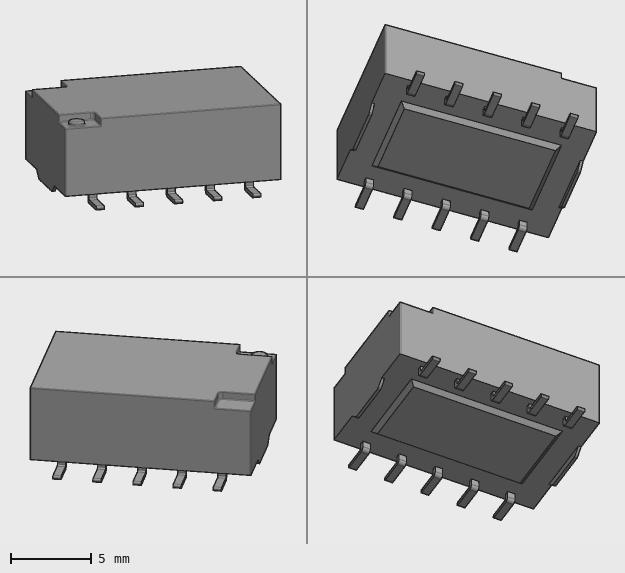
import cadquery as cq

CASE_WIDTH = 9.0
CASE_LENGTH = 14.0
TOP_Z = 5.6
CASE_BOTTOM_Z = 0.7
CASE_HEIGHT = TOP_Z - CASE_BOTTOM_Z
EDGE_RADIUS = 0.05

RECESS_WIDTH = 1.5
RECESS_LENGTH = 2.3
RECESS_DEPTH = 0.5
RECESS_CORNER_RADIUS = 0.25
RECESS_FLOOR_Z = TOP_Z - RECESS_DEPTH

MARK_DIAMETER = 1.0
MARK_HEIGHT = 0.25
MARK_TOP_RADIUS = 0.1
MARK_BASE_RADIUS = 0.05
MARK_X = (CASE_WIDTH - RECESS_WIDTH) / 2
MARK_Y = -6.05

TAB_TOP_WIDTH = 4.0
TAB_CORNER_RADIUS = 0.2
TAB_BOTTOM_Z = 0.2
TAB_DROP = CASE_BOTTOM_Z - TAB_BOTTOM_Z
TAB_THICKNESS = 0.2

PLUG_WIDTH = 5.5
PLUG_LENGTH = 10.6
PLUG_DROP = 0.3
PLUG_TAPER = 0.3

LEAD_SPAN = 11.5
LEAD_COUNT = 5
LEAD_PITCH = 2.54
LEAD_WIDTH = 0.52
LEAD_THICKNESS = 0.25
LEAD_LEG_THICKNESS = 0.3
LEAD_OUTER_FACE_X = 4.075
LEAD_INNER_BEND_RADIUS = 0.1
LEAD_OUTER_BEND_RADIUS = 0.25
LEAD_TIP_RADIUS = 0.12
LEAD_EMBED = 0.2


def make_case():
    """Block with two corner recesses, every edge above the bottom face rounded."""
    case = cq.Workplane("XY").box(CASE_WIDTH, CASE_LENGTH, CASE_HEIGHT, centered=(True, True, False))
    for side in (-1, 1):
        cutter = (
            cq.Workplane("XY")
            .box(2 * RECESS_WIDTH, 2 * RECESS_LENGTH, 2 * RECESS_DEPTH)
            .edges("|Z")
            .fillet(RECESS_CORNER_RADIUS)
            .translate((side * CASE_WIDTH / 2, -CASE_LENGTH / 2, CASE_HEIGHT))
        )
        case = case.cut(cutter)
    case = case.edges("not(<Z)").fillet(EDGE_RADIUS)
    return case.translate((0, 0, CASE_BOTTOM_Z))


def make_mark():
    """Short round stud with a rounded top edge and a flared foot."""
    radius = MARK_DIAMETER / 2
    foot_radius = radius + MARK_BASE_RADIUS
    mark = (
        cq.Workplane("XZ")
        .lineTo(foot_radius, 0)
        .radiusArc((radius, MARK_BASE_RADIUS), MARK_BASE_RADIUS)
        .lineTo(radius, MARK_HEIGHT - MARK_TOP_RADIUS)
        .radiusArc((radius - MARK_TOP_RADIUS, MARK_HEIGHT), -MARK_TOP_RADIUS)
        .lineTo(0, MARK_HEIGHT)
        .close()
        .revolve(360, (0, 0, 0), (0, 1, 0))
    )
    return mark.translate((MARK_X, MARK_Y, RECESS_FLOOR_Z))


def make_tab(outer_y):
    """Tab with 45 degree sides and rounded lower corners, thickened in +Y from outer_y."""
    half_top = TAB_TOP_WIDTH / 2
    half_bottom = half_top - TAB_DROP
    return (
        cq.Workplane("XZ", origin=(0, outer_y, 0))
        .moveTo(-half_top, CASE_BOTTOM_Z)
        .lineTo(-half_bottom, TAB_BOTTOM_Z)
        .lineTo(half_bottom, TAB_BOTTOM_Z)
        .lineTo(half_top, CASE_BOTTOM_Z)
        .close()
        .extrude(-TAB_THICKNESS)
        .faces("<Z")
        .edges("|Y")
        .fillet(TAB_CORNER_RADIUS)
    )


def make_plug():
    """Shallow block under the case, narrowing downward."""
    return (
        cq.Workplane("XY", origin=(0, 0, CASE_BOTTOM_Z))
        .rect(PLUG_WIDTH, PLUG_LENGTH)
        .workplane(offset=-PLUG_DROP)
        .rect(PLUG_WIDTH - 2 * PLUG_TAPER, PLUG_LENGTH - 2 * PLUG_TAPER)
        .loft(ruled=True)
    )


def make_lead(y):
    """L-shaped lead on the +X side, centred on the given Y."""
    inner_x = LEAD_OUTER_FACE_X - LEAD_LEG_THICKNESS
    lead_top_z = CASE_BOTTOM_Z + LEAD_EMBED
    lead = (
        cq.Workplane("XZ", origin=(0, y, 0))
        .moveTo(inner_x, lead_top_z)
        .lineTo(inner_x, 0)
        .lineTo(LEAD_SPAN / 2, 0)
        .lineTo(LEAD_SPAN / 2, LEAD_THICKNESS)
        .lineTo(LEAD_OUTER_FACE_X, LEAD_THICKNESS)
        .lineTo(LEAD_OUTER_FACE_X, lead_top_z)
        .close()
        .extrude(LEAD_WIDTH / 2, both=True)
    )
    bend_inside = cq.selectors.NearestToPointSelector((LEAD_OUTER_FACE_X, y, LEAD_THICKNESS))
    bend_outside = cq.selectors.NearestToPointSelector((inner_x, y, 0))
    lead = lead.edges(bend_inside).fillet(LEAD_INNER_BEND_RADIUS)
    lead = lead.edges(bend_outside).fillet(LEAD_OUTER_BEND_RADIUS)
    return lead.faces(">X").edges("|Y").fillet(LEAD_TIP_RADIUS)


result = make_case().union(make_mark()).union(make_plug())

front_tab = make_tab(-CASE_LENGTH / 2)
result = result.union(front_tab).union(front_tab.mirror("XZ"))

for index in range(LEAD_COUNT):
    right_lead = make_lead((index - (LEAD_COUNT - 1) / 2) * LEAD_PITCH)
    result = result.union(right_lead).union(right_lead.mirror("YZ"))